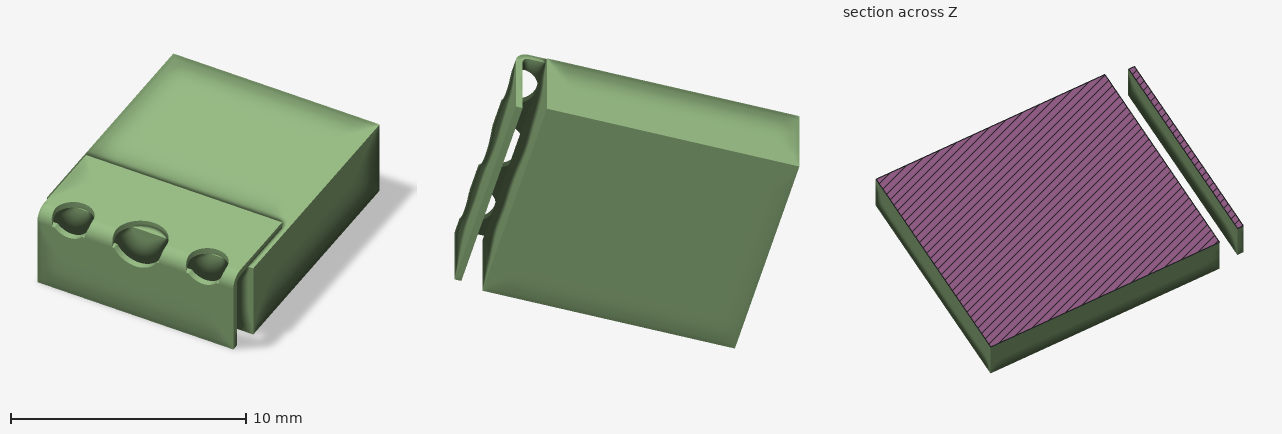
import cadquery as cq

block_width = 10.0
block_length = 11.15
block_height = 3.6

sheet = 0.3
cover_width = 9.5
cover_length = 4.3
leg_overhang = 1.3
bend_radius = 0.6
cover_top = block_height + sheet
leg_front = -leg_overhang

side_opening_x = 3.25
side_opening_radius = 0.9
centre_opening_radius = 1.2
openings = [
    (-side_opening_x, side_opening_radius),
    (0, centre_opening_radius),
    (side_opening_x, side_opening_radius),
]
opening_setback = 0.45

pad_depth = 0.1
front_pad_count = 4
front_pad_width = 1.5
front_pad_pitch = 2.11
front_pad_height = 3.05
front_pads_left = -3.78
front_pads_right = front_pads_left + (front_pad_count - 1) * front_pad_pitch + front_pad_width
outer_side_pad = (2.4, 1.43)
inner_side_pad = (1.5, 0.86)
stripe_slope = 0.45


def make_block():
    return cq.Workplane("XY").box(block_width, block_length, block_height, (True, False, False))


def make_cover():
    """L-shaped sheet with a constant-thickness bend."""
    back = leg_front + cover_length
    inner_radius = bend_radius - sheet
    profile = (
        cq.Workplane("YZ")
        .moveTo(back, block_height)
        .lineTo(back, cover_top)
        .lineTo(leg_front + bend_radius, cover_top)
        .radiusArc((leg_front, cover_top - bend_radius), -bend_radius)
        .lineTo(leg_front, 0)
        .lineTo(leg_front + sheet, 0)
        .lineTo(leg_front + sheet, cover_top - bend_radius)
        .radiusArc((leg_front + bend_radius, block_height), inner_radius)
        .close()
    )
    return profile.extrude(cover_width / 2, both=True)


def make_opening(x, radius):
    """Upright cylinder through the top and a level one through the leg."""
    arc_y = leg_front + opening_setback
    through_top = (
        cq.Workplane("XY", origin=(x, arc_y, cover_top - bend_radius))
        .circle(radius)
        .extrude(bend_radius)
    )
    through_leg = (
        cq.Workplane("XZ", origin=(x, arc_y, cover_top))
        .circle(radius)
        .extrude(opening_setback)
    )
    return through_top.union(through_leg)


def make_front_pad(index):
    left = front_pads_left + index * front_pad_pitch
    return cq.Workplane("XY").box(front_pad_width, pad_depth, front_pad_height, False).translate((left, 0, 0))


def make_side_pad(side, size):
    """Rectangle in the lower front corner of a side face; side is -1 or 1.

    The pad is a wedge that meets the front face only along the corner edge.
    """
    length, height = size
    outer_x = side * block_width / 2
    inner_x = outer_x - side * pad_depth
    return (
        cq.Workplane("XY")
        .polyline([(outer_x, 0), (outer_x, length), (inner_x, length)])
        .close()
        .extrude(height)
    )


def make_front_stripe(side, inner_x):
    """Stripe rising from a side pad to the outermost front pad, at inner_x."""
    outer_x = side * block_width / 2
    height = inner_side_pad[1]
    rise = stripe_slope * abs(outer_x - inner_x)
    return (
        cq.Workplane("XZ")
        .polyline([(outer_x, 0), (inner_x, rise), (inner_x, rise + height), (outer_x, height)])
        .close()
        .extrude(-pad_depth)
    )


cover = make_cover()
for opening_x, opening_radius in openings:
    cover = cover.cut(make_opening(opening_x, opening_radius))

result = make_block().union(cover)

pads = [make_front_pad(index) for index in range(front_pad_count)]
for pad_side, stripe_end in [(-1, front_pads_left), (1, front_pads_right)]:
    pads.append(make_side_pad(pad_side, outer_side_pad))
    inner_pad = make_side_pad(pad_side, inner_side_pad)
    pads.append(inner_pad.union(make_front_stripe(pad_side, stripe_end)))
for pad in pads:
    result = result.union(pad, clean=False)